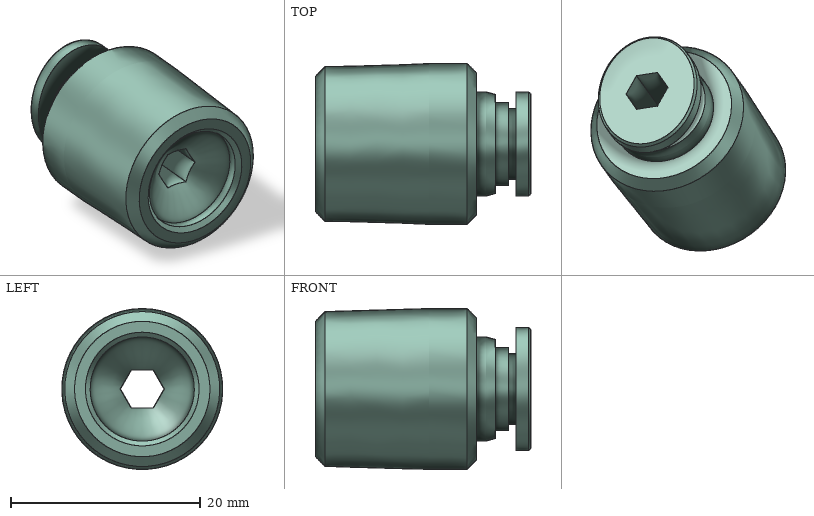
import cadquery as cq
import math

TAPER_END = 12.0
BODY_LENGTH = 17.0
COLLAR_TAPER_START = 18.0
COLLAR_END = 19.0
NECK_END = 20.4
FLANGE_START = 21.15
TOTAL_LENGTH = 22.75

BODY_RADIUS = 8.5
FACE_RADIUS = 8.15
BODY_CHAMFER = 1.0
COLLAR_RADIUS = 5.5
COLLAR_TAPER_ANGLE = 15.0
NECK_RADIUS = 4.4
GROOVE_RADIUS = 3.75
FLANGE_WIDTH = 11.0
FLANGE_HEIGHT = 13.0
FLANGE_CHAMFER = 0.25

SOCKET_RADIUS = 5.5
SOCKET_DEPTH = 1.5
SOCKET_CHAMFER = 0.5
SOCKET_TIP_ANGLE = 120.0
HEX_ACROSS_FLATS = 4.0


def revolve_about_x(outline):
    """Turn a closed (x, radius) outline one full turn about the X axis."""
    profile = cq.Workplane("XZ").polyline(outline).close()
    return profile.revolve(360, (0, 0, 0), (1, 0, 0))


def make_turned_body():
    """Tapered grip, stepped collar, neck and groove as one turned shape."""
    taper_slope = (BODY_RADIUS - FACE_RADIUS) / TAPER_END
    front_edge_radius = FACE_RADIUS + taper_slope * BODY_CHAMFER
    collar_drop = (COLLAR_END - COLLAR_TAPER_START) * math.tan(math.radians(COLLAR_TAPER_ANGLE))
    return revolve_about_x([
        (0, 0),
        (0, FACE_RADIUS - BODY_CHAMFER),
        (BODY_CHAMFER, front_edge_radius),
        (TAPER_END, BODY_RADIUS),
        (BODY_LENGTH - BODY_CHAMFER, BODY_RADIUS),
        (BODY_LENGTH, BODY_RADIUS - BODY_CHAMFER),
        (BODY_LENGTH, COLLAR_RADIUS),
        (COLLAR_TAPER_START, COLLAR_RADIUS),
        (COLLAR_END, COLLAR_RADIUS - collar_drop),
        (COLLAR_END, NECK_RADIUS),
        (NECK_END, NECK_RADIUS),
        (NECK_END, GROOVE_RADIUS),
        (FLANGE_START, GROOVE_RADIUS),
        (FLANGE_START, 0),
    ])


def make_flange():
    """Oval end flange, taller along Z than along Y, with a chamfered outer rim."""
    oval = cq.Workplane("YZ", origin=(FLANGE_START, 0, 0)).ellipse(FLANGE_WIDTH / 2, FLANGE_HEIGHT / 2)
    return oval.extrude(TOTAL_LENGTH - FLANGE_START).faces(">X").chamfer(FLANGE_CHAMFER)


def make_socket():
    """Chamfered round socket ending in a conical bottom."""
    tip_length = SOCKET_RADIUS / math.tan(math.radians(SOCKET_TIP_ANGLE / 2))
    return revolve_about_x([
        (0, 0),
        (0, SOCKET_RADIUS + SOCKET_CHAMFER),
        (SOCKET_CHAMFER, SOCKET_RADIUS),
        (SOCKET_DEPTH, SOCKET_RADIUS),
        (SOCKET_DEPTH + tip_length, 0),
    ])


def make_hex_passage():
    """Hexagonal prism through the whole length, with corners on the Y axis."""
    across_corners = HEX_ACROSS_FLATS / math.cos(math.pi / 6)
    return cq.Workplane("YZ").polygon(6, across_corners).extrude(TOTAL_LENGTH)


result = (
    make_turned_body()
    .union(make_flange())
    .cut(make_socket())
    .cut(make_hex_passage())
)